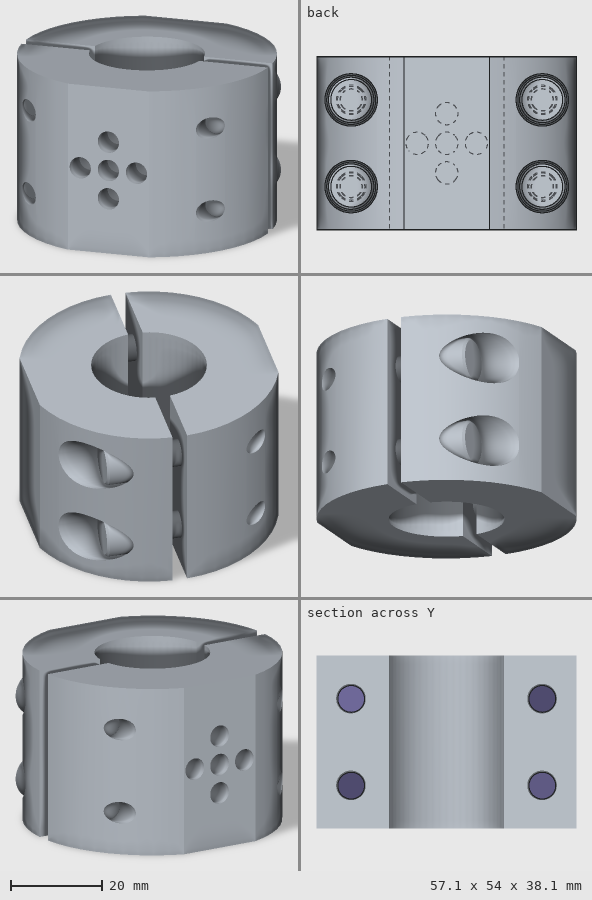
import cadquery as cq
import math

width = 57.05
depth = 54.0
height = 38.1
split_gap = 3.3
bore_diameter = 25.45
split_face = split_gap / 2
outer_radius = math.hypot(width / 2, split_face)

screw_x = 21.0
screw_z = height / 4
screw_positions = [(x, z) for x in (-screw_x, screw_x) for z in (-screw_z, screw_z)]
shank_diameter = 6.0
shank_length = 25.0
tip_diameter = 4.75
tip_length = 0.35
head_diameter = 10.0
head_height = 6.0
head_chamfer = 0.5
head_seat = 9.7
screw_end = head_seat - shank_length
screw_taper_start = screw_end + tip_length

washer_diameter = 10.8
washer_thickness = 1.8
washer_seat = head_seat - washer_thickness
clearance_diameter = 6.5
head_bore_diameter = 11.5

end_hole_diameter = 4.9

drill_diameter = 4.9
drill_depth = 6.85
drill_spacing = 6.5
drill_cone_angle = 118.0
drill_positions = [
    (0, 0),
    (drill_spacing, 0),
    (-drill_spacing, 0),
    (0, drill_spacing),
    (0, -drill_spacing),
]


def rod(diameter, y_start, y_end, position):
    """Cylinder parallel to Y between two Y values, at an (X, Z) position."""
    x, z = position
    base = cq.Workplane("XZ", origin=(x, y_start, z))
    return base.circle(diameter / 2).extrude(y_start - y_end)


def make_half(side):
    """Half collar without its holes; side is +1 for the rear and -1 for the front."""
    collar = cq.Workplane("XY").circle(outer_radius).circle(bore_diameter / 2).extrude(height / 2, both=True)
    half_depth = depth / 2 - split_face
    keep_center = side * (split_face + half_depth / 2)
    keep = cq.Workplane("XY").box(2 * outer_radius, half_depth, height).translate((0, keep_center, 0))
    return collar.intersect(keep)


def make_screw(position):
    """Screw with a chamfered cylindrical head and a tapered tip."""
    x, z = position
    head = rod(head_diameter, head_seat, head_seat + head_height, position)
    head = head.faces(">Y").chamfer(head_chamfer)
    shank = rod(shank_diameter, screw_taper_start, head_seat, position)
    tip = (
        cq.Workplane("XZ", origin=(x, screw_taper_start, z))
        .circle(shank_diameter / 2)
        .workplane(offset=tip_length)
        .circle(tip_diameter / 2)
        .loft()
    )
    return head.union(shank).union(tip)


def make_rear_half():
    """Half with the clearance holes and the head bores, open to the rear."""
    half = make_half(1)
    for position in screw_positions:
        half = half.cut(rod(clearance_diameter, split_face, washer_seat, position))
        half = half.cut(rod(head_bore_diameter, washer_seat, depth / 2, position))
    return half


def make_drill_cutter():
    """Drilled hole at the centre of the front flat, with a conical bottom."""
    radius = drill_diameter / 2
    cone_length = radius / math.tan(math.radians(drill_cone_angle / 2))
    mouth = -depth / 2
    bottom = mouth + drill_depth
    profile = cq.Workplane("XY").polyline(
        [(0, mouth), (radius, mouth), (radius, bottom), (0, bottom + cone_length)]
    )
    return profile.close().revolve(360, (0, 0, 0), (0, 1, 0))


def make_front_half():
    """Half with the screw end holes and the drilled cross."""
    half = make_half(-1)
    for position in screw_positions:
        half = half.cut(rod(end_hole_diameter, -split_face, -depth / 2, position))
        half = half.cut(make_screw(position))
    drill = make_drill_cutter()
    for x, z in drill_positions:
        half = half.cut(drill.translate((x, 0, z)))
    return half


def make_washer(position):
    """Plain ring between a screw head and the floor of its bore."""
    disc = rod(washer_diameter, washer_seat, head_seat, position)
    return disc.cut(rod(clearance_diameter, washer_seat, head_seat, position))


rear_half = make_rear_half()
front_half = make_front_half()
screws = [make_screw(position) for position in screw_positions]
washers = [make_washer(position) for position in screw_positions]

result = cq.Compound.makeCompound(
    [
        rear_half.val(),
        front_half.val(),
        *[screw.val() for screw in screws],
        *[washer.val() for washer in washers],
    ]
)